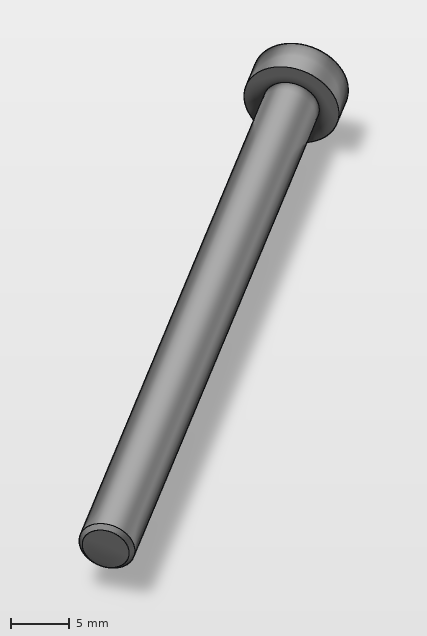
import cadquery as cq

head_diameter = 8.5
head_height = 3.5
head_edge_radius = 0.5
shank_diameter = 5.0
shank_length = 60.0
tip_chamfer = 0.4


def make_head():
    """Cylindrical head whose bearing face lies on Y = 0, with a rounded outer rim."""
    head = cq.Workplane("XZ").circle(head_diameter / 2).extrude(-head_height)
    return head.faces(">Y").edges().fillet(head_edge_radius)


def make_shank():
    """Cylindrical shank running from the bearing face to a chamfered tip."""
    shank = cq.Workplane("XZ").circle(shank_diameter / 2).extrude(shank_length)
    return shank.faces("<Y").edges().chamfer(tip_chamfer)


result = make_head().union(make_shank())